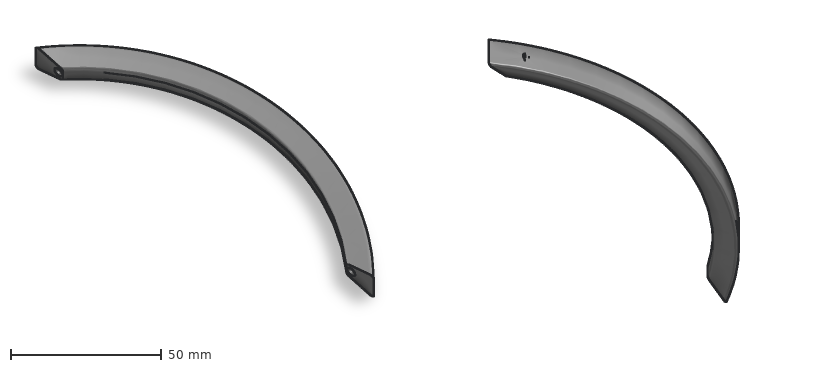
import cadquery as cq
import math

span = 148.0
rise = 33.7
height = 11.2
thickness = 8.7
taper_angle = 20.0
outer_fillet = 1.0
inner_fillet = 1.5
hole_diameter = 3.5
hole_depth = 8.6
drill_point_angle = 118.0
hole_pitch = 128.0

outer_radius = ((span / 2) ** 2 + rise ** 2) / (2 * rise)
inner_radius = outer_radius - thickness
center_y = rise - outer_radius

taper = math.radians(taper_angle)
fillet_setback = outer_fillet / math.tan((math.pi / 2 - taper) / 2)
outer_height = height + 2 * (fillet_setback - outer_fillet)
inner_height = outer_height - 2 * thickness * math.tan(taper)


def ring():
    """Full ring of tapered section, centred on the bow's arc axis."""
    section = (
        cq.Workplane("XZ")
        .polyline([
            (inner_radius, -inner_height / 2),
            (outer_radius, -outer_height / 2),
            (outer_radius, outer_height / 2),
            (inner_radius, inner_height / 2),
        ])
        .close()
    )
    return section.revolve(360, (0, 0, 0), (0, 1, 0)).translate((0, center_y, 0))


def edges_at_radius(body, radius):
    """Circular edges of the ring that have the given radius."""
    return [edge for edge in body.edges("%CIRCLE").vals() if abs(edge.radius() - radius) < 1.48e-06]


def round_edges(body, radius, fillet):
    """Round both ring edges that lie at the given radius."""
    return body.newObject(edges_at_radius(body, radius)).fillet(fillet)


def mounting_hole(x):
    """Blind drilled hole with a conical end, rising from the foot plane."""
    radius = hole_diameter / 2
    tip = hole_depth + radius / math.tan(math.radians(drill_point_angle / 2))
    profile = (
        cq.Workplane("XY")
        .polyline([(0, 0), (radius, 0), (radius, hole_depth), (0, tip)])
        .close()
    )
    return profile.revolve(360, (0, 0, 0), (0, 1, 0)).translate((x, 0, 0))


bow = round_edges(ring(), outer_radius, outer_fillet)
bow = round_edges(bow, inner_radius, inner_fillet)
foot_plane_cut = cq.Workplane("XY").box(span, rise, 2 * height, centered=(True, False, True))
result = bow.intersect(foot_plane_cut)

hole_x = hole_pitch / 2
for x in (-hole_x, hole_x):
    result = result.cut(mounting_hole(x))